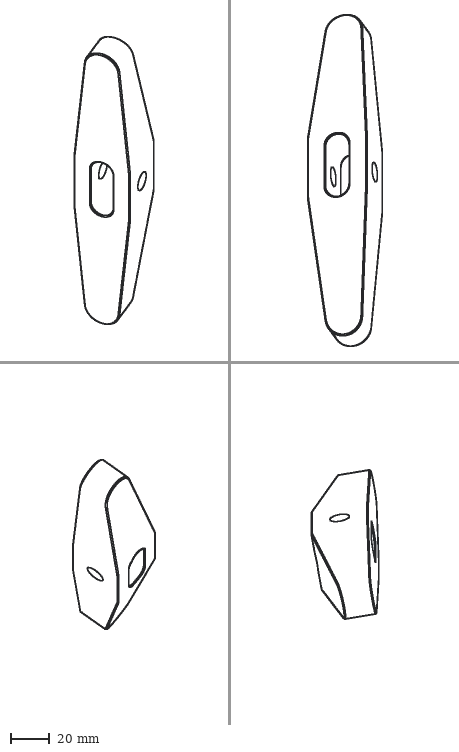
import cadquery as cq
import math

length = 180.0
width = 32.0
depth = 30.0

hub_half_length = 16.5
tip_radius = 10.0
tip_depth = 16.0

slot_width = 12.6
slot_length = 35.0
cross_hole_diameter = 10.0

edge_chamfer = 0.63
overrun = 36.0

front_y = -depth / 2
back_y = depth / 2
half_length = length / 2
half_width = width / 2


def tip_tangent_point():
    """Point (x, z) where the straight +X flank of the upper arm meets the tip arc."""
    center_z = half_length - tip_radius
    rise = center_z - hub_half_length
    distance = math.hypot(half_width, rise)
    angle = math.atan2(-rise, half_width) + math.acos(tip_radius / distance)
    return tip_radius * math.cos(angle), center_z + tip_radius * math.sin(angle)


def make_outline_body():
    """Round-ended, tapered outline extruded from the front to well behind the back."""
    tangent_x, tangent_z = tip_tangent_point()
    return (
        cq.Workplane("XZ", origin=(0, front_y, 0))
        .moveTo(half_width, -hub_half_length)
        .lineTo(half_width, hub_half_length)
        .lineTo(tangent_x, tangent_z)
        .threePointArc((0, half_length), (-tangent_x, tangent_z))
        .lineTo(-half_width, hub_half_length)
        .lineTo(-half_width, -hub_half_length)
        .lineTo(-tangent_x, -tangent_z)
        .threePointArc((0, -half_length), (tangent_x, -tangent_z))
        .close()
        .extrude(-(depth + overrun))
    )


def make_layer_behind(back_line):
    """Slab filling the space behind a straight back line given as two (y, z) ends."""
    (lower_y, lower_z), (upper_y, upper_z) = back_line
    slope = (upper_y - lower_y) / (upper_z - lower_z)
    end_z = half_length + overrun
    bottom_y = lower_y - slope * (lower_z + end_z)
    top_y = lower_y + slope * (end_z - lower_z)
    far_y = max(bottom_y, top_y) + depth + overrun
    return (
        cq.Workplane("YZ")
        .polyline([(bottom_y, -end_z), (top_y, end_z), (far_y, end_z), (far_y, -end_z)])
        .close()
        .extrude(half_width + overrun, both=True)
    )


def make_slot():
    """Lengthwise slot passing through from front to back."""
    return (
        cq.Workplane("XZ")
        .slot2D(slot_length, slot_width, angle=90)
        .extrude(depth + overrun, both=True)
    )


def make_cross_hole():
    """Round hole through the middle of both flanks, crossing the slot."""
    return cq.Workplane("YZ").circle(cross_hole_diameter / 2).extrude(width, both=True)


def make_trimmed_blank(back_line):
    """Slotted blank cut off along one back plane, with all front and back rims chamfered."""
    trimmed = make_outline_body().cut(make_slot()).cut(make_layer_behind(back_line))
    return trimmed.faces("%PLANE and (not #Y)").edges().chamfer(edge_chamfer)


tip_y = front_y + tip_depth
upper_crease = (back_y, hub_half_length)
lower_crease = (back_y, -hub_half_length)
flat_blank = make_trimmed_blank((lower_crease, upper_crease))
upper_blank = make_trimmed_blank((upper_crease, (tip_y, half_length)))
lower_blank = make_trimmed_blank(((tip_y, -half_length), lower_crease))
body = flat_blank.intersect(upper_blank).intersect(lower_blank)

result = body.cut(make_cross_hole())